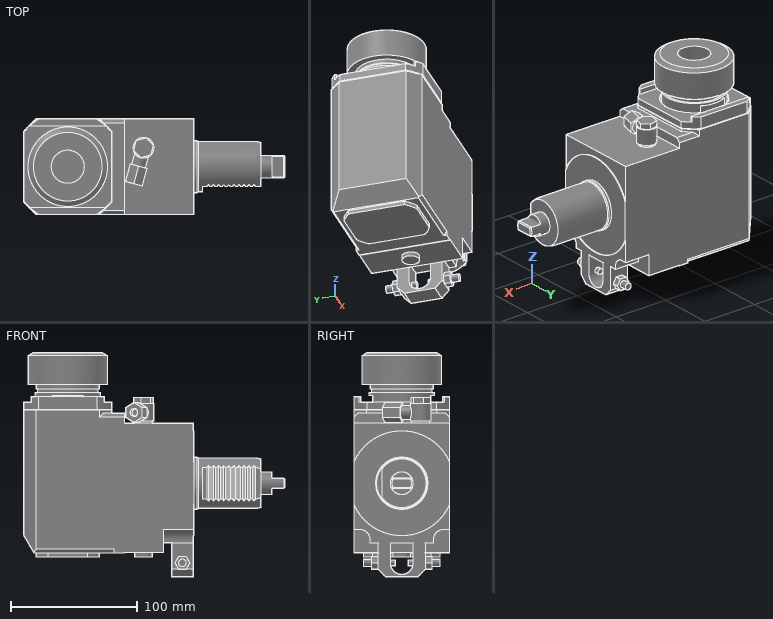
import math

import cadquery as cq


hex_sides = 6
full_turn = 360
quarter_turn = full_turn / 4

width = 76.0
half_width = width / 2
flange_step = 0.6
flange_radius = 41.5
block_right = -flange_step
block_left = -55.0
block_top = 47.5
block_bottom = -55.0

spindle_x = -100.0
head_length = 70.0
head_left = spindle_x - head_length / 2
head_right = spindle_x + head_length / 2
head_top = 57.8
head_bottom = -55.4
head_corner = 10.0
toe_run = 8.3
toe_rise = 14.4
shoulder_top = 55.6
shoulder_chamfer_drop = 3.2
shoulder_chamfer_inset = 3.5
foot_chamfer_rise = 3.3
foot_chamfer_inset = 2.6
foot_chamfer_end = -63.5

plate_top = 64.2
plate_corner_radius = 44.5
plate_edge_chamfer = 0.5
rim_top = 68.6
plate_recess_radius = 27.4
plate_recess_depth = 2.0
rim_length = 58.0
rim_inner_y = 32.3

neck_radius = 26.0
neck_flat_half_width = 23.0
neck_flat_top = 69.3
neck_top = 71.7
groove_radius = 24.0
groove_top = 74.6
nose_radius = 25.0
nut_bottom = 78.0
nut_top = 103.5
nut_radius = 31.5
nut_face_radius = 27.2
nut_chamfer_height = 2.5
nut_bore_radius = 13.1
nut_bore_depth = 15.0

collar_radius = 20.7
collar_length = 3.4
collar_chamfer_length = 0.9
shank_radius = 20.0
shank_length = 53.0
shank_chamfer_length = 3.3
shank_chamfer_height = 0.7
rack_start = 6.8
rack_flat_y = -15.7
rack_pitch = 4.0
rack_groove_count = 10
first_rack_groove_x = 11.5
rack_groove_depth = 1.4
rack_groove_half_width = 1.3

tang_radius = 9.0
tang_end = 72.0
tang_chamfer_length = 1.3
tang_chamfer_height = 0.7
tang_cutter_overrun = 1.0
blade_start = 61.6
blade_half_thickness = 4.1
blade_root_radius = 0.8

relief_left = -24.0
relief_top = -36.6
rail_half_width = 25.0
rail_bottom = -47.3
rail_root_radius = 8.2

bracket_left = -17.7
bracket_half_width = 18.8
overall_height = 177.66
bracket_bottom = nut_top - overall_height
bracket_corner_width = 6.0
bracket_corner_height = 6.2
fork_radius = 8.9
fork_center_z = -63.2
screw_x = -9.2
screw_z = -63.0
screw_radius = 3.0
screw_end_y = 30.4
screw_tip_radius = 2.4
screw_tip_y = 5.0
screw_nut_end_y = 24.1
screw_nut_corners = 11.8

pad_bottom = -58.5
pad_radius = 34.2
pad_length = 50.0
pad_width = 60.8
plug_x = -40.0
plug_radius = 7.0

nozzle_x = -40.0
nozzle_y = 15.0
nozzle_swivel = -15.0
nozzle_foot_radius = 7.0
nozzle_foot_top = 49.3
nozzle_body_radius = 8.2
nozzle_body_top = 63.3
nozzle_cap_top = 68.0
nozzle_cap_corners = 16.2
nozzle_arm_z = 56.0
nozzle_arm_radius = 5.6
nozzle_hex_start = 15.1
nozzle_hex_end = 29.5
nozzle_hex_corners = 15.8
nozzle_bore_radius = 3.0
nozzle_bore_depth = 6.0


def box(x_range, y_range, z_range):
    """Axis-aligned box from (low, high) pairs."""
    size = [high - low for low, high in (x_range, y_range, z_range)]
    corner = (x_range[0], y_range[0], z_range[0])
    return cq.Workplane("XY").box(*size, centered=False).translate(corner)


def upright_cylinder(x, y, radius, z_low, z_high):
    return cq.Workplane("XY", origin=(x, y, z_low)).circle(radius).extrude(z_high - z_low)


def both_sides(solid):
    """The solid together with its mirror image across the XZ plane."""
    return solid.union(solid.mirror("XZ"))


def edge_wedge(x_low, x_high, z_edge, inset, z_inner):
    """Chamfer cutter for the -Y long edge at height z_edge, reaching z_inner on the side face."""
    return (
        cq.Workplane("YZ", origin=(x_low, 0, 0))
        .polyline([(-half_width, z_inner), (-half_width, z_edge), (-half_width + inset, z_edge)])
        .close()
        .extrude(x_high - x_low)
    )


def make_head():
    head = box((head_left, head_right), (-half_width, half_width), (head_bottom, head_top))
    head = head.edges("|Z").chamfer(head_corner)
    toe = (
        cq.Workplane("XZ", origin=(0, half_width, 0))
        .moveTo(head_left, head_bottom)
        .lineTo(head_left + toe_run, head_bottom)
        .lineTo(head_left, head_bottom + toe_rise)
        .close()
        .extrude(width)
    )
    return head.cut(toe)


def make_shoulder():
    """Part of the housing joining the head to the block, with chamfered top edges."""
    shoulder = box((spindle_x, block_left), (-half_width, half_width), (head_bottom, shoulder_top))
    wedge = edge_wedge(
        spindle_x, block_left, shoulder_top, shoulder_chamfer_inset, shoulder_top - shoulder_chamfer_drop
    )
    return shoulder.cut(both_sides(wedge))


def make_housing():
    housing = make_head().union(make_shoulder())
    foot_wedge = edge_wedge(
        head_left, foot_chamfer_end, head_bottom, foot_chamfer_inset, head_bottom + foot_chamfer_rise
    )
    housing = housing.cut(both_sides(foot_wedge))
    block = box((block_left, block_right), (-half_width, half_width), (block_bottom, block_top))
    relief = box((relief_left, block_right), (-half_width, half_width), (block_bottom, relief_top))
    flange = cq.Workplane("YZ", origin=(block_right, 0, 0)).circle(flange_radius).extrude(flange_step)
    flange = flange.intersect(
        box((block_right, 0), (-half_width, half_width), (-flange_radius, flange_radius))
    )
    return housing.union(block.cut(relief)).union(make_rail()).union(flange)


def make_rail():
    """Rail under the block, with concave rounds where it meets the relief ceiling."""
    y_root = rail_half_width + rail_root_radius
    z_root = relief_top - rail_root_radius
    diagonal = rail_root_radius * math.sqrt(0.5)
    return (
        cq.Workplane("YZ", origin=(relief_left, 0, 0))
        .moveTo(-y_root, relief_top)
        .threePointArc((-y_root + diagonal, z_root + diagonal), (-rail_half_width, z_root))
        .lineTo(-rail_half_width, rail_bottom)
        .lineTo(rail_half_width, rail_bottom)
        .lineTo(rail_half_width, z_root)
        .threePointArc((y_root - diagonal, z_root + diagonal), (y_root, relief_top))
        .close()
        .extrude(block_right - relief_left)
    )


def make_cover_plate():
    plate = box((head_left, head_right), (-half_width, half_width), (head_top, rim_top))
    plate = plate.intersect(upright_cylinder(spindle_x, 0, plate_corner_radius, head_top, rim_top))
    plate = plate.faces("<Z").chamfer(plate_edge_chamfer)
    rim_left = spindle_x - rim_length / 2
    rim_right = spindle_x + rim_length / 2
    for x_range in ((head_left, rim_left), (rim_right, head_right)):
        plate = plate.cut(box(x_range, (-half_width, half_width), (plate_top, rim_top)))
    plate = plate.cut(box((head_left, head_right), (-rim_inner_y, rim_inner_y), (plate_top, rim_top)))
    recess_bottom = plate_top - plate_recess_depth
    return plate.cut(upright_cylinder(spindle_x, 0, plate_recess_radius, recess_bottom, plate_top))


def make_spindle():
    neck = upright_cylinder(spindle_x, 0, neck_radius, head_top, neck_top)
    x_range = (spindle_x - neck_radius, spindle_x + neck_radius)
    z_range = (plate_top - plate_recess_depth, neck_flat_top)
    flat = box(x_range, (-neck_radius, -neck_flat_half_width), z_range)
    neck = neck.cut(both_sides(flat))
    profile = [
        (0, neck_top),
        (groove_radius, neck_top),
        (groove_radius, groove_top),
        (nose_radius, groove_top),
        (nose_radius, nut_bottom),
        (nut_radius, nut_bottom),
        (nut_radius, nut_top - nut_chamfer_height),
        (nut_face_radius, nut_top),
        (nut_bore_radius, nut_top),
        (nut_bore_radius, nut_top - nut_bore_depth),
        (0, nut_top - nut_bore_depth),
    ]
    nose = cq.Workplane("XZ").polyline(profile).close().revolve(full_turn, (0, 0, 0), (0, 1, 0))
    return neck.union(nose.translate((spindle_x, 0, 0)))


def make_shank():
    collar = cq.Workplane("YZ").circle(collar_radius).extrude(collar_length)
    collar = collar.faces(">X").chamfer(collar_chamfer_length, collar_radius - shank_radius)
    profile = [
        (0, 0),
        (0, shank_radius),
        (shank_length - shank_chamfer_length, shank_radius),
        (shank_length, shank_radius - shank_chamfer_height),
        (shank_length, 0),
    ]
    shank = cq.Workplane("XY").polyline(profile).close().revolve(full_turn, (0, 0, 0), (1, 0, 0))
    z_range = (-shank_radius, shank_radius)
    shank = shank.cut(box((rack_start, shank_length), (-shank_radius, rack_flat_y), z_range))
    for index in range(rack_groove_count):
        x = first_rack_groove_x + index * rack_pitch
        groove = (
            cq.Workplane("XY", origin=(0, 0, -shank_radius))
            .moveTo(x - rack_groove_half_width, rack_flat_y)
            .lineTo(x, rack_flat_y + rack_groove_depth)
            .lineTo(x + rack_groove_half_width, rack_flat_y)
            .close()
            .extrude(2 * shank_radius)
        )
        shank = shank.cut(groove)
    return collar.union(shank)


def make_tang():
    tang = cq.Workplane("YZ", origin=(shank_length, 0, 0)).circle(tang_radius)
    tang = tang.extrude(tang_end - shank_length)
    x_range = (blade_start, tang_end + tang_cutter_overrun)
    y_range = (-2 * tang_radius, 2 * tang_radius)
    for side in (-1, 1):
        z_range = sorted((side * blade_half_thickness, side * 2 * tang_radius))
        cutter = box(x_range, y_range, z_range)
        root = ">Z" if side < 0 else "<Z"
        cutter = cutter.faces(root).edges("<X").fillet(blade_root_radius)
        tang = tang.cut(cutter)
    return tang.faces(">X").chamfer(tang_chamfer_height, tang_chamfer_length)


def make_set_screw():
    """Set screw with lock nut on the -Y leg of the bracket."""

    def along_y(y_start):
        return cq.Workplane("XZ", origin=(screw_x, y_start, screw_z))

    tip = along_y(-screw_tip_y).circle(screw_tip_radius).extrude(bracket_half_width - screw_tip_y)
    stud = along_y(-bracket_half_width).circle(screw_radius).extrude(screw_end_y - bracket_half_width)
    nut = along_y(-bracket_half_width).polygon(hex_sides, screw_nut_corners)
    nut = nut.extrude(screw_nut_end_y - bracket_half_width)
    return tip.union(stud).union(nut)


def make_bracket():
    length = block_right - bracket_left
    corner_y = bracket_half_width - bracket_corner_width
    corner_z = bracket_bottom + bracket_corner_height
    bracket = (
        cq.Workplane("YZ", origin=(bracket_left, 0, 0))
        .moveTo(-bracket_half_width, rail_bottom)
        .lineTo(-bracket_half_width, corner_z)
        .lineTo(-corner_y, bracket_bottom)
        .lineTo(corner_y, bracket_bottom)
        .lineTo(bracket_half_width, corner_z)
        .lineTo(bracket_half_width, rail_bottom)
        .close()
        .extrude(length)
    )
    fork = (
        cq.Workplane("YZ", origin=(bracket_left, 0, 0))
        .moveTo(-fork_radius, rail_bottom)
        .lineTo(-fork_radius, fork_center_z)
        .threePointArc((0, fork_center_z - fork_radius), (fork_radius, fork_center_z))
        .lineTo(fork_radius, rail_bottom)
        .close()
        .extrude(length)
    )
    return bracket.cut(fork).union(both_sides(make_set_screw()))


def make_bottom_cover():
    pad = upright_cylinder(spindle_x, 0, pad_radius, pad_bottom, head_bottom)
    limits = box(
        (spindle_x - pad_length / 2, spindle_x + pad_length / 2),
        (-pad_width / 2, pad_width / 2),
        (pad_bottom, head_bottom),
    )
    plug = upright_cylinder(plug_x, 0, plug_radius, pad_bottom, block_bottom)
    return pad.intersect(limits).union(plug)


def make_nozzle():
    """Banjo fitting, built with its arm along -Y about the Z axis and then swivelled."""
    foot = upright_cylinder(0, 0, nozzle_foot_radius, block_top, nozzle_foot_top)
    body = upright_cylinder(0, 0, nozzle_body_radius, nozzle_foot_top, nozzle_body_top)
    cap = cq.Workplane("XY", origin=(0, 0, nozzle_body_top)).transformed(rotate=(0, 0, quarter_turn))
    cap = cap.polygon(hex_sides, nozzle_cap_corners).extrude(nozzle_cap_top - nozzle_body_top)

    def arm_plane(distance):
        return cq.Workplane("XZ", origin=(0, -distance, nozzle_arm_z)).transformed(rotate=(0, 0, quarter_turn))

    arm = arm_plane(0).circle(nozzle_arm_radius).extrude(nozzle_hex_start)
    tip = arm_plane(nozzle_hex_start).polygon(hex_sides, nozzle_hex_corners)
    tip = tip.extrude(nozzle_hex_end - nozzle_hex_start)
    bore = arm_plane(nozzle_hex_end - nozzle_bore_depth).circle(nozzle_bore_radius)
    tip = tip.cut(bore.extrude(nozzle_bore_depth))
    nozzle = foot.union(body).union(cap).union(arm).union(tip)
    nozzle = nozzle.rotate((0, 0, 0), (0, 0, 1), nozzle_swivel)
    return nozzle.translate((nozzle_x, nozzle_y, 0))


result = make_housing()
for make_feature in (
    make_cover_plate,
    make_spindle,
    make_shank,
    make_tang,
    make_bracket,
    make_bottom_cover,
    make_nozzle,
):
    result = result.union(make_feature())